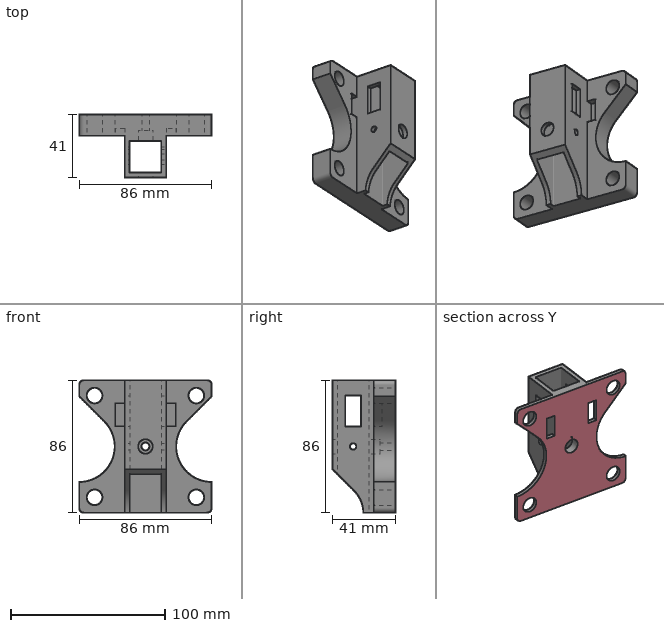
import cadquery as cq
import math

PLATE_SIZE = 86.0
PLATE_THICKNESS = 14.0
PLATE_CORNER_RADIUS = 3.0
BOLT_SPACING = 66.0
BOLT_HOLE_DIAMETER = 10.0
WAIST_RADIUS = 23.0

SOCKET_SIZE = 20.4
SOCKET_CORNER_RADIUS = 0.2
WALL = 3.3
FOOT_CUT_RADIUS = 20.0

WINDOW_WIDTH = 10.0
WINDOW_HEIGHT = 20.0
WINDOW_BOTTOM = 13.0
PIN_HOLE_DIAMETER = 4.0

SCREW_HOLE_DIAMETER = 5.0
COUNTERBORE_DIAMETER = 9.4
COUNTERBORE_DEPTH = 7.0

POCKET_WIDTH = 6.0
POCKET_HEIGHT = 15.0
POCKET_BOTTOM = 13.0
POCKET_DEPTH = 5.0

HALF = PLATE_SIZE / 2
HOUSING_SIZE = SOCKET_SIZE + 2 * WALL
PLATE_FRONT = -PLATE_THICKNESS
HOUSING_FRONT = PLATE_FRONT - HOUSING_SIZE
SOCKET_CENTER_Y = PLATE_FRONT - HOUSING_SIZE / 2
SIDES = (-1, 1)
SLOPE_ANGLE = math.radians(45)


def box_between(x_range, y_range, z_range):
    """Axis-aligned box given by its (low, high) limits along each axis."""
    x0, x1 = x_range
    y0, y1 = y_range
    z0, z1 = z_range
    block = cq.Workplane("XY").box(x1 - x0, y1 - y0, z1 - z0, centered=False)
    return block.translate((x0, y0, z0))


def cylinder_along_y(diameter, y_range, x=0.0, z=0.0):
    """Cylinder parallel to Y between two Y positions."""
    start, end = y_range
    axis_start = cq.Vector(x, start, z)
    return cq.Workplane(cq.Solid.makeCylinder(diameter / 2, end - start, axis_start, cq.Vector(0, 1, 0)))


def waist_cutter(side):
    """Circle on the plate edge, with a 45 degree tangent up to the edge."""
    tangent = WAIST_RADIUS * math.sin(SLOPE_ANGLE)
    edge = side * HALF
    return (
        cq.Workplane("XZ")
        .moveTo(edge, -WAIST_RADIUS)
        .threePointArc((edge - side * WAIST_RADIUS, 0), (edge - side * tangent, tangent))
        .lineTo(edge, WAIST_RADIUS / math.cos(SLOPE_ANGLE))
        .close()
        .extrude(PLATE_THICKNESS)
    )


def plate():
    """Square plate with rounded corners, two waist cuts and four bolt holes."""
    body = box_between((-HALF, HALF), (PLATE_FRONT, 0), (-HALF, HALF))
    body = body.edges("|Y").fillet(PLATE_CORNER_RADIUS)
    for side in SIDES:
        body = body.cut(waist_cutter(side))
        for level in SIDES:
            bolt_x = side * BOLT_SPACING / 2
            bolt_z = level * BOLT_SPACING / 2
            body = body.cut(cylinder_along_y(BOLT_HOLE_DIAMETER, (PLATE_FRONT, 0), bolt_x, bolt_z))
    return body


def housing():
    """Block around the socket; a tangent arc and 45 degree slope relieve its lower front."""
    tangent = FOOT_CUT_RADIUS * math.sin(SLOPE_ANGLE)
    arc_middle_angle = SLOPE_ANGLE / 2
    arc_middle = (
        HOUSING_FRONT + FOOT_CUT_RADIUS * math.cos(arc_middle_angle),
        -HALF + FOOT_CUT_RADIUS * math.sin(arc_middle_angle),
    )
    return (
        cq.Workplane("YZ", origin=(-HOUSING_SIZE / 2, 0, 0))
        .moveTo(PLATE_FRONT, -HALF)
        .lineTo(HOUSING_FRONT + FOOT_CUT_RADIUS, -HALF)
        .threePointArc(arc_middle, (HOUSING_FRONT + tangent, -HALF + tangent))
        .lineTo(HOUSING_FRONT, -HALF + FOOT_CUT_RADIUS / math.cos(SLOPE_ANGLE))
        .lineTo(HOUSING_FRONT, HALF)
        .lineTo(PLATE_FRONT, HALF)
        .close()
        .extrude(HOUSING_SIZE)
    )


def socket():
    """Vertical through opening with lightly rounded vertical corners."""
    half_width = SOCKET_SIZE / 2
    y_range = (HOUSING_FRONT + WALL, PLATE_FRONT - WALL)
    opening = box_between((-half_width, half_width), y_range, (-HALF, HALF))
    return opening.edges("|Z").fillet(SOCKET_CORNER_RADIUS)


def side_windows():
    """Rectangular window through both side walls."""
    half_width = HOUSING_SIZE / 2
    y_range = (SOCKET_CENTER_Y - WINDOW_WIDTH / 2, SOCKET_CENTER_Y + WINDOW_WIDTH / 2)
    z_range = (WINDOW_BOTTOM, WINDOW_BOTTOM + WINDOW_HEIGHT)
    return box_between((-half_width, half_width), y_range, z_range)


def pin_hole():
    """Cross hole through both side walls, on the socket axis."""
    axis_start = cq.Vector(-HOUSING_SIZE / 2, SOCKET_CENTER_Y, 0)
    return cq.Workplane(
        cq.Solid.makeCylinder(PIN_HOLE_DIAMETER / 2, HOUSING_SIZE, axis_start, cq.Vector(1, 0, 0))
    )


def screw_passage():
    """Counterbore through the front wall and into the socket back wall, then a screw hole."""
    counterbore_floor = PLATE_FRONT - WALL + COUNTERBORE_DEPTH
    counterbore = cylinder_along_y(COUNTERBORE_DIAMETER, (HOUSING_FRONT, counterbore_floor))
    screw_hole = cylinder_along_y(SCREW_HOLE_DIAMETER, (HOUSING_FRONT, 0))
    return counterbore.union(screw_hole)


def plate_pocket(side):
    """Blind pocket in the plate front, against the housing side wall."""
    inner = side * HOUSING_SIZE / 2
    outer = inner + side * POCKET_WIDTH
    y_range = (PLATE_FRONT, PLATE_FRONT + POCKET_DEPTH)
    z_range = (POCKET_BOTTOM, POCKET_BOTTOM + POCKET_HEIGHT)
    return box_between((min(inner, outer), max(inner, outer)), y_range, z_range)


result = plate().union(housing())
result = result.cut(socket())
result = result.cut(side_windows())
result = result.cut(pin_hole())
result = result.cut(screw_passage())
for pocket_side in SIDES:
    result = result.cut(plate_pocket(pocket_side))